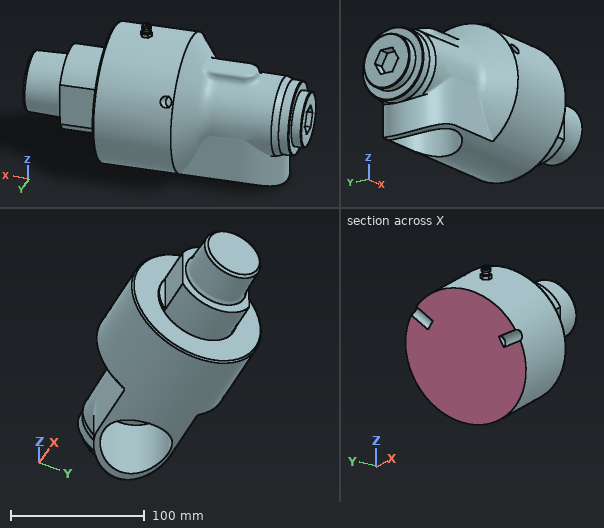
import cadquery as cq
import math


plug_end = 7.8
collar_end = 15.8
shoulder_end = 21.0
neck_end = 67.5
cone_start = 77.3
body_start = 92.5
body_end = 153.5
flange_end = 155.5
wrench_end = 185.5
thread_start = 188.5
part_length = 216.0

plug_radius = 21.4
collar_radius = 28.5
neck_start_radius = 30.5
neck_end_radius = 31.0
cone_start_radius = 35.6
body_radius = 54.0
wrench_radius = 65.0 / 2
thread_root_radius = 25.3
thread_start_radius = 24.2
end_chamfer = 2.0
edge_chamfer = 0.6
body_chamfer = 1.3
thread_taper = 1 / 32

flats_width = 55.3
socket_flats = 19.0
socket_depth = 8.6

boss_half_width = 30.2
boss_center = collar_end + boss_half_width
boss_fillet = 1.7
port_center = 49.7
port_diameter = 53.8

pad_center = 49.0
pad_half_width = 10.4
pad_top = 36.7
pad_end = 86.5
pad_edge_fillet = 2.2
pad_root_fillet = 5.5

radial_hole_diameter = 8.6
radial_hole_x = 98.0
radial_hole_depth = 17.3
radial_hole_angle = 30.0

fitting_x = 126.0
fitting_hex_corners = 8.6
fitting_hex_top = 56.5
fitting_top = 63.0
fitting_seat = 2.2
fitting_base_radius = 3.7
fitting_bevel_radius = 2.8
fitting_bevel_top = 57.5
fitting_neck_radius = 2.5
fitting_neck_z = 58.5
fitting_head_radius = 3.5
fitting_head_bottom = 59.8
fitting_head_top = 61.5
fitting_stem_radius = 1.5 / 2
fitting_cap_radius = 5.5 / 2
fitting_cap_bottom = 62.6


def turned_body():
    """Revolve the half outline of all the coaxial steps about X."""
    thread_end = part_length - end_chamfer
    thread_end_radius = thread_start_radius - thread_taper * (thread_end - thread_start)
    outline = (
        cq.Workplane("XY")
        .moveTo(0, 0)
        .lineTo(0, plug_radius - edge_chamfer)
        .lineTo(edge_chamfer, plug_radius)
        .lineTo(plug_end, plug_radius)
        .lineTo(plug_end, collar_radius - edge_chamfer)
        .lineTo(plug_end + edge_chamfer, collar_radius)
        .lineTo(collar_end, collar_radius)
        .lineTo(shoulder_end, neck_start_radius)
        .lineTo(neck_end, neck_end_radius)
        .tangentArcPoint((cone_start, cone_start_radius), relative=False)
        .lineTo(body_start, body_radius)
        .lineTo(body_end - body_chamfer, body_radius)
        .lineTo(body_end, body_radius - body_chamfer)
        .lineTo(body_end, wrench_radius)
        .lineTo(wrench_end, wrench_radius)
        .lineTo(wrench_end, thread_root_radius)
        .lineTo(thread_start, thread_start_radius)
        .lineTo(thread_end, thread_end_radius)
        .lineTo(part_length, thread_end_radius - end_chamfer)
        .lineTo(part_length, 0)
        .close()
    )
    return outline.revolve(360, (0, 0, 0), (1, 0, 0))


def port_boss():
    """Obround column running down from the axis to the body's outer cylinder."""
    column = (
        cq.Workplane("XY")
        .moveTo(body_start, boss_half_width)
        .lineTo(boss_center, boss_half_width)
        .threePointArc((collar_end, 0), (boss_center, -boss_half_width))
        .lineTo(body_start, -boss_half_width)
        .close()
        .extrude(-body_radius)
    )
    envelope = cq.Workplane("YZ").circle(body_radius).extrude(body_end)
    return column.intersect(envelope)


def top_pad():
    """Round-nosed pad rising from the axis and running into the cone."""
    pad = (
        cq.Workplane("XY")
        .moveTo(pad_end, pad_half_width)
        .lineTo(pad_center, pad_half_width)
        .threePointArc((pad_center - pad_half_width, 0), (pad_center, -pad_half_width))
        .lineTo(pad_end, -pad_half_width)
        .close()
        .extrude(pad_top)
    )
    return pad.faces(">Z").edges("not >X").fillet(pad_edge_fillet)


def round_pad_root(part):
    """Fillet the smooth loop where the pad meets the neck and cone, starting at its nose."""
    nose = (pad_center - pad_half_width, 0, neck_start_radius)
    return part.edges(cq.selectors.NearestToPointSelector(nose)).fillet(pad_root_fillet)


def round_boss_root(part):
    """Fillet both smooth chains where the boss sides meet the neck and cone."""
    flat_middle = (boss_center + neck_end) / 2
    flat_top = -math.sqrt(neck_end_radius**2 - boss_half_width**2)
    for side in (1, -1):
        point = (flat_middle, side * boss_half_width, flat_top)
        part = part.edges(cq.selectors.NearestToPointSelector(point)).fillet(boss_fillet)
    return part


def port_bore():
    """Blind port reaching from the underside up to the axis."""
    return (
        cq.Workplane("XY")
        .center(port_center, 0)
        .circle(port_diameter / 2)
        .extrude(-body_radius)
    )


def wrench_cutters():
    """Two blocks that leave flats on the front and back of the wrench shoulder."""
    length = wrench_end - flange_end
    middle = (flange_end + wrench_end) / 2
    size = 2 * wrench_radius
    cutters = cq.Workplane("XY")
    for side in (1, -1):
        center_y = side * (flats_width + size) / 2
        block = cq.Workplane("XY").box(length, size, size)
        cutters = cutters.union(block.translate((middle, center_y, 0)))
    return cutters


def hex_socket():
    """Hexagon socket in the plug face, with two corners pointing along Y."""
    corners = socket_flats / math.cos(math.radians(30))
    return cq.Workplane("YZ").polygon(6, corners).extrude(socket_depth)


def radial_hole(angle):
    """Blind hole aimed at the axis; the angle is measured from +Y towards +Z."""
    direction = cq.Vector(0, math.cos(math.radians(angle)), math.sin(math.radians(angle)))
    floor = cq.Vector(radial_hole_x, 0, 0) + direction * (body_radius - radial_hole_depth)
    return cq.Solid.makeCylinder(radial_hole_diameter / 2, 2 * radial_hole_depth, floor, direction)


def grease_fitting():
    """Hexagon base carrying a turned nipple with a thin cap on a fine stem."""
    base = (
        cq.Workplane("XY")
        .workplane(offset=body_radius - fitting_seat)
        .polygon(6, fitting_hex_corners)
        .extrude(fitting_hex_top - body_radius + fitting_seat)
    )
    nipple = (
        cq.Workplane("XZ")
        .moveTo(0, fitting_hex_top - fitting_seat)
        .lineTo(fitting_base_radius, fitting_hex_top - fitting_seat)
        .lineTo(fitting_base_radius, fitting_hex_top)
        .lineTo(fitting_bevel_radius, fitting_bevel_top)
        .threePointArc((fitting_neck_radius, fitting_neck_z), (fitting_head_radius, fitting_head_bottom))
        .lineTo(fitting_head_radius, fitting_head_top)
        .lineTo(fitting_stem_radius, fitting_head_top)
        .lineTo(fitting_stem_radius, fitting_cap_bottom)
        .lineTo(fitting_cap_radius, fitting_cap_bottom)
        .lineTo(fitting_cap_radius, fitting_top)
        .lineTo(0, fitting_top)
        .close()
        .revolve(360, (0, 0, 0), (0, 1, 0))
    )
    return base.union(nipple).translate((fitting_x, 0, 0))


result = round_pad_root(turned_body().union(top_pad()))
result = round_boss_root(result.union(port_boss()))
result = result.cut(port_bore()).cut(wrench_cutters()).cut(hex_socket())
for hole_angle in (radial_hole_angle, 180 - radial_hole_angle):
    result = result.cut(cq.Workplane(radial_hole(hole_angle)))
result = result.union(grease_fitting())